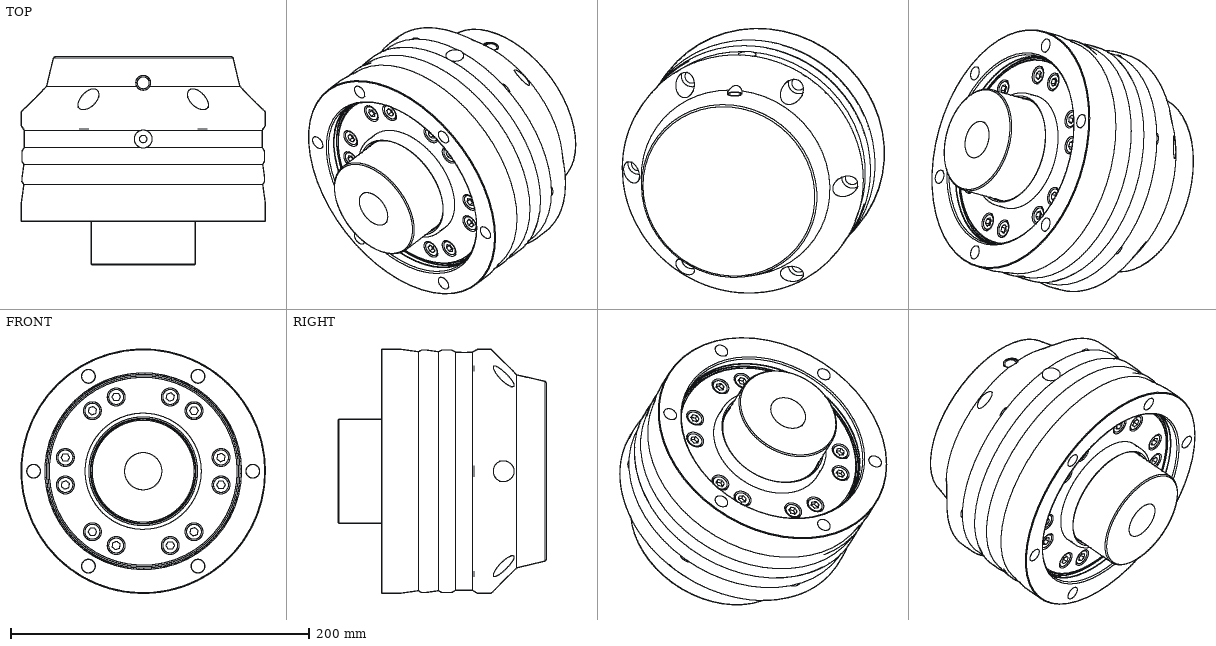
import cadquery as cq
import math


BODY_RADIUS = 82.0
BODY_LENGTH = 110.87
HUB_PROJECTION = 29.2

FLANGE_CHAMFER = 0.5
FLANGE_RIM_END = 12.5
TAPER_ANGLE = math.radians(8)
FLANK_ANGLE = math.radians(30)
FRONT_ROOT_Y = 24.9
MIDDLE_ROOT_Y = 38.4
TAPER_ROOT_RADIUS = BODY_RADIUS - (FRONT_ROOT_Y - FLANGE_RIM_END) * math.tan(TAPER_ANGLE)
RIDGE_RADIUS = 81.5
GROOVE_RADIUS = 80.0
GROOVE_START = 49.7
GROOVE_END = 61.1
REAR_RIM_END = 73.6
CONE_END_Y = 90.7
CONE_END_RADIUS = BODY_RADIUS - (CONE_END_Y - REAR_RIM_END)
REAR_RADIUS = 60.1
REAR_CHAMFER = 1.0
EDGE_FILLET = 2.0
LAND_FILLET = 1.0

RECESS_RADIUS = 65.0
RECESS_DEPTH = 9.0
RECESS_CHAMFER = 1.0
UNDERCUT_RADIUS = 65.5
UNDERCUT_START = 7.0
UNDERCUT_END = 10.0
PLATE_RADIUS = 64.0
PLATE_CHAMFER = 1.0
PLATE_GAP_DEPTH = 4.0

COLLAR_RADIUS = 39.0
COLLAR_FILLET = 2.0
COLLAR_BORE_RADIUS = 35.5
COLLAR_BORE_CHAMFER = 1.0
COLLAR_GAP_DEPTH = 3.0
HUB_RADIUS = 35.0
HUB_CHAMFER = 0.8
BORE_RADIUS = 12.5
BORE_DEPTH = 60.0

BOLT_COUNT = 6
BOLT_CIRCLE_RADIUS = 73.5
BOLT_HOLE_DIAMETER = 9.0
BOLT_COUNTERBORE_DIAMETER = 14.0
BOLT_SEAT_Y = 62.0

SCREW_PAIR_COUNT = 6
SCREW_CIRCLE_RADIUS = 53.0
SCREW_PAIR_HALF_ANGLE = 10.0
SCREW_POCKET_DIAMETER = 12.0
SCREW_POCKET_DEPTH = 6.0
SCREW_HEAD_DIAMETER = 10.0
SCREW_HEAD_SETBACK = 0.5
SOCKET_ACROSS_FLATS = 5.0
SOCKET_DEPTH = 3.0
SOCKET_TURN = 10.0

GROOVE_HOLE_Y = 55.4
GROOVE_HOLE_DIAMETER = 12.0
GROOVE_HOLE_FLOOR = 65.0
GROOVE_PILOT_DIAMETER = 5.0
GROOVE_PILOT_FLOOR = 60.0
SET_SCREW_Y = 93.1
SET_SCREW_RECESS_DIAMETER = 10.0
SET_SCREW_HOLE_DIAMETER = 8.0
SET_SCREW_RECESS_FLOOR = 63.0
SET_SCREW_HOLE_FLOOR = 35.0


def revolve_outline(points):
    """Revolve (radius, y) points about the Y axis."""
    return cq.Workplane("XY").polyline(points).close().revolve(360, (0, 0, 0), (0, 1, 0))


def ring_edges(body, radius, y):
    """The circular edges of a given radius centred on the Y axis at y."""
    tolerance = 0.01
    found = [
        edge
        for edge in body.edges("%CIRCLE").vals()
        if abs(edge.radius() - radius) < tolerance and abs(edge.Center().y - y) < tolerance
    ]
    return body.newObject(found)


def cylinder(diameter, y_start, y_end, x=0.0, z=0.0):
    """A cylinder parallel to Y."""
    length = y_end - y_start
    axis = cq.Vector(0, 1, 0)
    return cq.Workplane(cq.Solid.makeCylinder(diameter / 2, length, cq.Vector(x, y_start, z), axis))


def radial_hole(diameter, y, floor):
    """A flat-bottomed cylinder along Z, from height floor out past the body."""
    return cq.Workplane("XY", origin=(0, y, floor)).circle(diameter / 2).extrude(BODY_RADIUS - floor)


def on_circle(radius, angle):
    """The (x, z) position at an angle in degrees, measured from +X towards +Z."""
    return radius * math.cos(math.radians(angle)), radius * math.sin(math.radians(angle))


def make_body():
    flank = math.tan(FLANK_ANGLE)
    taper = math.tan(TAPER_ANGLE)
    ridge_rise = RIDGE_RADIUS - TAPER_ROOT_RADIUS
    land_front = (RIDGE_RADIUS, FRONT_ROOT_Y + ridge_rise / flank)
    land_rear = (RIDGE_RADIUS, MIDDLE_ROOT_Y - ridge_rise / taper)
    ridge_front = (RIDGE_RADIUS, MIDDLE_ROOT_Y + ridge_rise / flank)
    ridge_rear = (RIDGE_RADIUS, GROOVE_START - (RIDGE_RADIUS - GROOVE_RADIUS) / flank)
    rim_front = (BODY_RADIUS, GROOVE_END + (BODY_RADIUS - GROOVE_RADIUS) / flank)
    rim_rear = (BODY_RADIUS, REAR_RIM_END)
    body = revolve_outline(
        [
            (0, 0),
            (BODY_RADIUS, 0),
            (BODY_RADIUS, FLANGE_RIM_END),
            (TAPER_ROOT_RADIUS, FRONT_ROOT_Y),
            land_front,
            land_rear,
            (TAPER_ROOT_RADIUS, MIDDLE_ROOT_Y),
            ridge_front,
            ridge_rear,
            (GROOVE_RADIUS, GROOVE_START),
            (GROOVE_RADIUS, GROOVE_END),
            rim_front,
            rim_rear,
            (CONE_END_RADIUS, CONE_END_Y),
            (REAR_RADIUS, BODY_LENGTH),
            (0, BODY_LENGTH),
        ]
    )
    body = ring_edges(body, *land_front).fillet(LAND_FILLET)
    for corner in (ridge_front, ridge_rear, rim_front, rim_rear):
        body = ring_edges(body, *corner).fillet(EDGE_FILLET)
    body = ring_edges(body, BODY_RADIUS, 0).chamfer(FLANGE_CHAMFER)
    return ring_edges(body, REAR_RADIUS, BODY_LENGTH).chamfer(REAR_CHAMFER)


def cut_recess(body):
    """Sink the recess with its wall undercut, leaving a plate as its floor and a rounded collar."""
    gap_floor = RECESS_DEPTH + PLATE_GAP_DEPTH
    recess = revolve_outline(
        [
            (COLLAR_RADIUS, 0),
            (RECESS_RADIUS + RECESS_CHAMFER, 0),
            (RECESS_RADIUS, RECESS_CHAMFER),
            (RECESS_RADIUS, UNDERCUT_START),
            (UNDERCUT_RADIUS, UNDERCUT_START),
            (UNDERCUT_RADIUS, UNDERCUT_END),
            (RECESS_RADIUS, UNDERCUT_END),
            (RECESS_RADIUS, gap_floor),
            (PLATE_RADIUS, gap_floor),
            (PLATE_RADIUS, RECESS_DEPTH + PLATE_CHAMFER),
            (PLATE_RADIUS - PLATE_CHAMFER, RECESS_DEPTH),
            (COLLAR_RADIUS, RECESS_DEPTH),
        ]
    )
    body = body.cut(recess)
    return ring_edges(body, COLLAR_RADIUS, 0).fillet(COLLAR_FILLET)


def add_hub(body):
    """Add the projecting hub, the narrow gap between it and the collar, and its blind bore."""
    gap = revolve_outline(
        [
            (HUB_RADIUS, 0),
            (COLLAR_BORE_RADIUS + COLLAR_BORE_CHAMFER, 0),
            (COLLAR_BORE_RADIUS, COLLAR_BORE_CHAMFER),
            (COLLAR_BORE_RADIUS, COLLAR_GAP_DEPTH),
            (HUB_RADIUS, COLLAR_GAP_DEPTH),
        ]
    )
    hub = cylinder(2 * HUB_RADIUS, -HUB_PROJECTION, COLLAR_GAP_DEPTH)
    hub = hub.faces("<Y").chamfer(HUB_CHAMFER)
    bore = cylinder(2 * BORE_RADIUS, -HUB_PROJECTION, BORE_DEPTH - HUB_PROJECTION)
    return body.cut(gap).union(hub).cut(bore)


def cut_bolt_holes(body):
    for index in range(BOLT_COUNT):
        x, z = on_circle(BOLT_CIRCLE_RADIUS, index * 360 / BOLT_COUNT)
        body = body.cut(cylinder(BOLT_HOLE_DIAMETER, 0, BOLT_SEAT_Y, x, z))
        body = body.cut(cylinder(BOLT_COUNTERBORE_DIAMETER, BOLT_SEAT_Y, BODY_LENGTH, x, z))
    return body


def screw_clearance(angle):
    """The space around one screw head, with its hexagon socket, at an angle on the screw circle."""
    x, z = on_circle(SCREW_CIRCLE_RADIUS, angle)
    pocket_floor = RECESS_DEPTH + SCREW_POCKET_DEPTH
    head_face = RECESS_DEPTH + SCREW_HEAD_SETBACK
    pocket = cylinder(SCREW_POCKET_DIAMETER, RECESS_DEPTH, pocket_floor, x, z)
    head = cylinder(SCREW_HEAD_DIAMETER, head_face, pocket_floor, x, z)
    across_corners = SOCKET_ACROSS_FLATS / math.cos(math.pi / 6)
    socket = (
        cq.Workplane("XZ", origin=(x, head_face, z))
        .transformed(rotate=(0, 0, angle + SOCKET_TURN))
        .polygon(6, across_corners)
        .extrude(-SOCKET_DEPTH)
    )
    return pocket.cut(head).union(socket)


def cut_screws(body):
    for pair in range(SCREW_PAIR_COUNT):
        pair_angle = pair * 360 / SCREW_PAIR_COUNT
        for offset in (-SCREW_PAIR_HALF_ANGLE, SCREW_PAIR_HALF_ANGLE):
            body = body.cut(screw_clearance(pair_angle + offset))
    return body


def cut_radial_holes(body):
    """Cut the stepped hole in the groove and the stepped set screw hole in the rear taper."""
    body = body.cut(radial_hole(GROOVE_HOLE_DIAMETER, GROOVE_HOLE_Y, GROOVE_HOLE_FLOOR))
    body = body.cut(radial_hole(GROOVE_PILOT_DIAMETER, GROOVE_HOLE_Y, GROOVE_PILOT_FLOOR))
    body = body.cut(radial_hole(SET_SCREW_RECESS_DIAMETER, SET_SCREW_Y, SET_SCREW_RECESS_FLOOR))
    return body.cut(radial_hole(SET_SCREW_HOLE_DIAMETER, SET_SCREW_Y, SET_SCREW_HOLE_FLOOR))


result = make_body()
result = cut_recess(result)
result = add_hub(result)
result = cut_bolt_holes(result)
result = cut_screws(result)
result = cut_radial_holes(result)